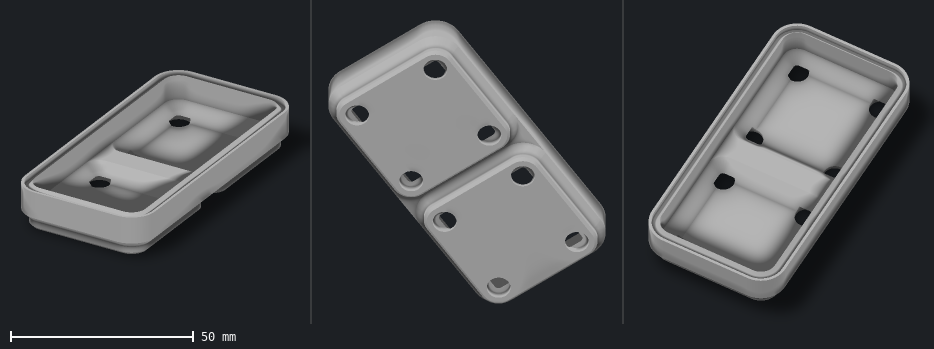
import cadquery as cq

width = 41.5
length = 83.5
height = 12.8
corner_radius = 7.5
cell_count = 2
cell_pitch = (length - width) / (cell_count - 1)
cell_centers_y = [(i - (cell_count - 1) / 2) * cell_pitch for i in range(cell_count)]

foot_height = 4.8
foot_lower_chamfer = 0.8
foot_upper_chamfer = 2.2
foot_straight = foot_height - foot_lower_chamfer - foot_upper_chamfer

groove_start = 0.8
groove_floor_end = 1.6
wall_thickness = 3.1
groove_depth = 1.8

floor_thickness = 1.0
pocket_floor_radius = 0.1
pocket_floor_inset = corner_radius - pocket_floor_radius
pocket_depth = pocket_floor_inset - wall_thickness
pocket_top = floor_thickness + pocket_depth

hole_diameter = 6.5
hole_spacing = 26.0
hole_depth = 2.1


def rounded_block(size_y, z_bottom, z_top, inset_bottom, inset_top=None, center_y=0.0):
    """Solid with a rounded outline inset from the tray or cell edge, straight or flared in between."""
    if inset_top is None:
        inset_top = inset_bottom

    def outline(inset):
        rectangle = cq.Sketch().rect(width - 2 * inset, size_y - 2 * inset)
        return rectangle.vertices().fillet(corner_radius - inset)

    block = cq.Workplane("XY", origin=(0, center_y, z_bottom)).placeSketch(
        outline(inset_bottom),
        outline(inset_top).moved(cq.Location(cq.Vector(0, 0, z_top - z_bottom))),
    )
    return block.loft()


def foot(center_y):
    """Chamfered tip, straight band and wide upper chamfer below one cell."""
    foot_inset = foot_upper_chamfer
    tip_inset = foot_inset + foot_lower_chamfer
    straight_top = foot_lower_chamfer + foot_straight
    tip = rounded_block(width, 0, foot_lower_chamfer, tip_inset, foot_inset, center_y)
    band = rounded_block(width, foot_lower_chamfer, straight_top, foot_inset, center_y=center_y)
    flare = rounded_block(width, straight_top, foot_height, foot_inset, 0, center_y)
    return tip.union(band).union(flare)


def lip_groove():
    groove_bottom = height - groove_depth
    channel = rounded_block(length, groove_bottom, height, groove_start)
    ridge = rounded_block(length, groove_bottom, height, groove_floor_end, wall_thickness)
    return channel.cut(ridge)


def pocket(center_y):
    return rounded_block(width, floor_thickness, pocket_top, pocket_floor_inset, wall_thickness, center_y)


def corner_holes(center_y):
    return (
        cq.Workplane("XY", origin=(0, center_y, 0))
        .rect(hole_spacing, hole_spacing, forConstruction=True)
        .vertices()
        .circle(hole_diameter / 2)
        .extrude(hole_depth)
    )


body = rounded_block(length, foot_height, height, 0)
for y in cell_centers_y:
    body = body.union(foot(y))

body = body.cut(rounded_block(length, pocket_top, height, wall_thickness))
for y in cell_centers_y:
    body = body.cut(pocket(y)).cut(corner_holes(y))

result = body.cut(lip_groove())